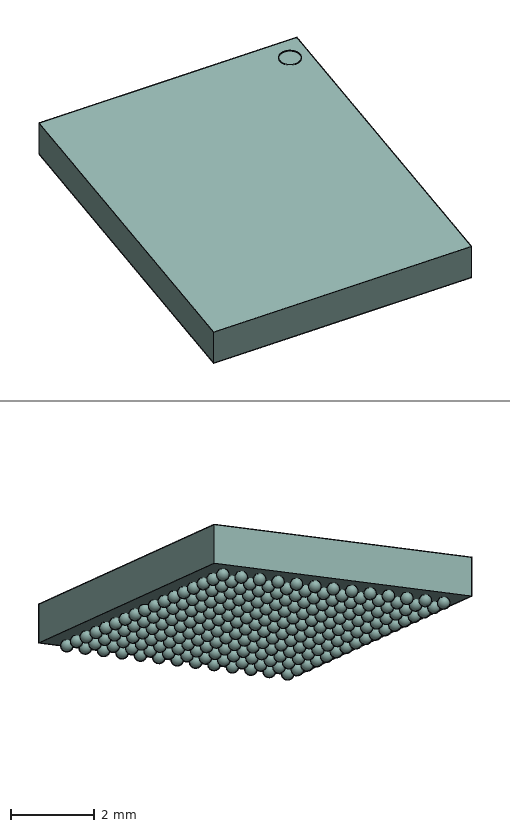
import cadquery as cq

body_length = 9.0
total_height = 1.23

ball_radius = 0.15
ball_standoff = 0.27
ball_columns = 17
ball_rows = 13
pole_direction = (0, 1, 0)

marker_diameter = 0.55
marker_depth = 0.03
marker_inset_x = 0.6
marker_inset_y = 0.5

ball_pitch = body_length / (ball_columns + 1)
body_width = ball_pitch * (ball_rows + 1)
body_height = total_height - ball_standoff
ball_center_z = ball_radius - ball_standoff


def make_body():
    """Plain rectangular slab with its underside at Z = 0."""
    return cq.Workplane("XY").box(
        body_length, body_width, body_height, centered=(True, True, False)
    )


def make_marker():
    """Disc that is removed from the top face to mark pin 1."""
    return (
        cq.Workplane("XY", origin=(0, 0, body_height - marker_depth))
        .center(marker_inset_x - body_length / 2, body_width / 2 - marker_inset_y)
        .circle(marker_diameter / 2)
        .extrude(marker_depth)
    )


def make_balls():
    """Full grid of solder balls centred under the body."""
    return (
        cq.Workplane("XY", origin=(0, 0, ball_center_z))
        .rarray(ball_pitch, ball_pitch, ball_columns, ball_rows)
        .sphere(ball_radius, direct=pole_direction, combine=False)
    )


result = make_body().cut(make_marker()).union(make_balls())